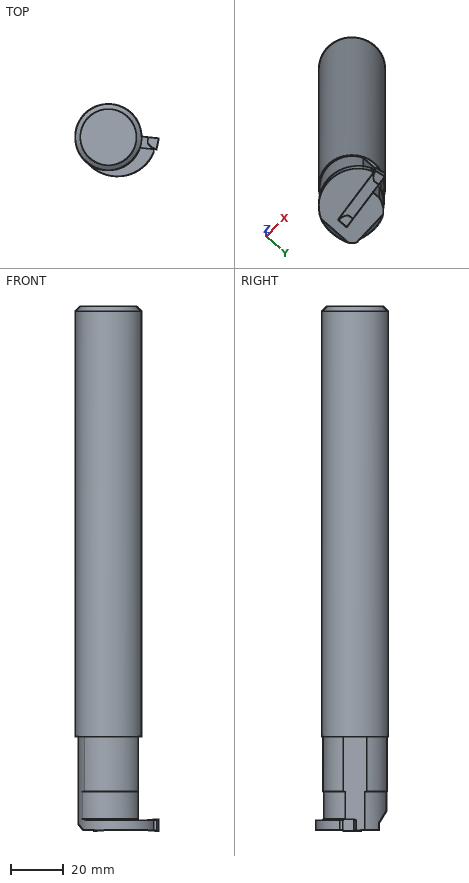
import cadquery as cq

shank_diameter = 25.4
shank_radius = shank_diameter / 2
overall_length = 200.0
shank_bottom = 36.0
shank_chamfer = 2.0

upper_neck_radius = 12.25
lower_neck_radius = 12.0
neck_step_height = 15.0
neck_step_slope = upper_neck_radius - lower_neck_radius
neck_flat_x = 11.4

blade_radius = 15.0
blade_center_x = 3.45
blade_end_x = 17.3

insert_width = 4.6
insert_length = 24.9
insert_height = 4.4
insert_tilt = 6.2
insert_end_relief = 0.4
overall_width = 31.95
tip_x = overall_width - shank_radius
tip_y = -0.4
side_relief = 0.4
head_length = 4.1
head_straight_height = 2.2
head_toe_height = 4.2
head_arc_mid_setback = 2.65
head_arc_mid_depth = 3.55
head_back_relief = 0.3

blade_bottom = side_relief
blade_top = insert_width - side_relief
root_flare = 0.5

heel_height = 2.4
heel_depth = 1.9
back_y = 9.2
back_wall_top = 3.2
back_slope_top_y = 12.3
back_slope_top = 8.2
back_cut_margin = 5.0


def cylinder(radius, bottom, top, center_x=0.0):
    return (
        cq.Workplane("XY", origin=(center_x, 0, bottom))
        .circle(radius)
        .extrude(top - bottom)
    )


def make_shank():
    bar = cylinder(shank_radius, shank_bottom, overall_length)
    return bar.faces(">Z").chamfer(shank_chamfer)


def beyond_x(start_x):
    """Everything in the lower end that lies on the +X side of start_x."""
    block = cq.Workplane("XY").box(
        2 * shank_radius, 4 * shank_radius, 2 * shank_bottom, centered=(False, True, True)
    )
    return block.translate((start_x, 0, 0))


def place_insert_frame(shape):
    """Move a shape from the insert's own axes (tip at the origin) to its place in the tool."""
    return shape.rotate((0, 0, 0), (0, 0, 1), -insert_tilt).translate((tip_x, tip_y, 0))


def below_insert():
    """Everything on the -Y side of the seat under the insert."""
    block = cq.Workplane("XY").box(
        4 * blade_radius, 2 * blade_radius, 2 * shank_bottom, centered=True
    )
    return place_insert_frame(block.translate((0, -blade_radius - insert_height, 0)))


def make_neck():
    """Two-stage round neck with a conical shoulder between the stages."""
    profile = (
        cq.Workplane("XZ")
        .moveTo(0, blade_bottom)
        .lineTo(lower_neck_radius, blade_bottom)
        .lineTo(lower_neck_radius, neck_step_height)
        .lineTo(upper_neck_radius, neck_step_height + neck_step_slope)
        .lineTo(upper_neck_radius, shank_bottom)
        .lineTo(0, shank_bottom)
        .close()
    )
    neck = profile.revolve(360, (0, 0, 0), (0, 1, 0))
    neck = neck.intersect(cylinder(blade_radius, blade_bottom, shank_bottom, blade_center_x))
    return neck.cut(beyond_x(neck_flat_x))


def make_blade():
    """Disc segment that carries the insert, blunt at its +X end."""
    disc = cylinder(blade_radius, blade_bottom, blade_top, blade_center_x)
    return disc.intersect(below_insert()).cut(beyond_x(blade_end_x))


def make_root():
    """Conical flare where the neck meets the top of the blade."""
    flare = (
        cq.Workplane("XZ")
        .moveTo(0, blade_top)
        .lineTo(lower_neck_radius + root_flare, blade_top)
        .lineTo(lower_neck_radius, blade_top + root_flare)
        .lineTo(0, blade_top + root_flare)
        .close()
        .revolve(360, (0, 0, 0), (0, 1, 0))
    )
    flare = flare.intersect(cylinder(blade_radius, blade_bottom, shank_bottom, blade_center_x))
    return flare.intersect(below_insert()).cut(beyond_x(neck_flat_x))


def make_heel_cut():
    """Sloped bevel across the bottom of the -X side."""
    left_x = blade_center_x - blade_radius
    return (
        cq.Workplane("XZ")
        .moveTo(left_x, blade_bottom)
        .lineTo(left_x + heel_depth, blade_bottom)
        .lineTo(left_x, blade_bottom + heel_height)
        .close()
        .extrude(2 * blade_radius, both=True)
    )


def make_back_cut():
    """Sloped relief and short upright wall on the +Y side."""
    far_y = back_slope_top_y + back_cut_margin
    return (
        cq.Workplane("YZ")
        .moveTo(back_y, 0)
        .lineTo(back_y, back_wall_top)
        .lineTo(back_slope_top_y, back_slope_top)
        .lineTo(far_y, back_slope_top)
        .lineTo(far_y, 0)
        .close()
        .extrude(2 * blade_radius, both=True)
    )


def make_insert_head():
    """One cutting end: full width at the tip, slightly narrower toward the middle of the bar."""
    toe_x = -insert_end_relief * head_toe_height / insert_height
    outline = (
        cq.Workplane("XY")
        .lineTo(-head_length, 0)
        .lineTo(-head_length, -head_straight_height)
        .threePointArc((-head_arc_mid_setback, -head_arc_mid_depth), (toe_x, -head_toe_height))
        .close()
        .extrude(insert_width)
    )
    taper = (
        cq.Workplane("XZ")
        .lineTo(0, insert_width)
        .lineTo(-head_length, insert_width - head_back_relief)
        .lineTo(-head_length, head_back_relief)
        .close()
        .extrude(insert_height)
    )
    return outline.intersect(taper)


def make_insert():
    """Bar with two equal cutting ends, one tip at the origin of its own axes and the bar along -X."""
    body = (
        cq.Workplane("XY", origin=(0, 0, side_relief))
        .lineTo(-insert_end_relief, -insert_height)
        .lineTo(insert_end_relief - insert_length, -insert_height)
        .lineTo(-insert_length, 0)
        .close()
        .extrude(insert_width - 2 * side_relief)
    )
    head = make_insert_head()
    other_head = head.mirror("YZ", (-insert_length / 2, 0, 0))
    return place_insert_frame(body.union(head).union(other_head))


insert = make_insert()
holder = make_shank().union(make_neck()).union(make_blade()).union(make_root())
holder = holder.cut(make_heel_cut()).cut(make_back_cut()).cut(insert)

result = cq.Compound.makeCompound([holder.val(), insert.val()])